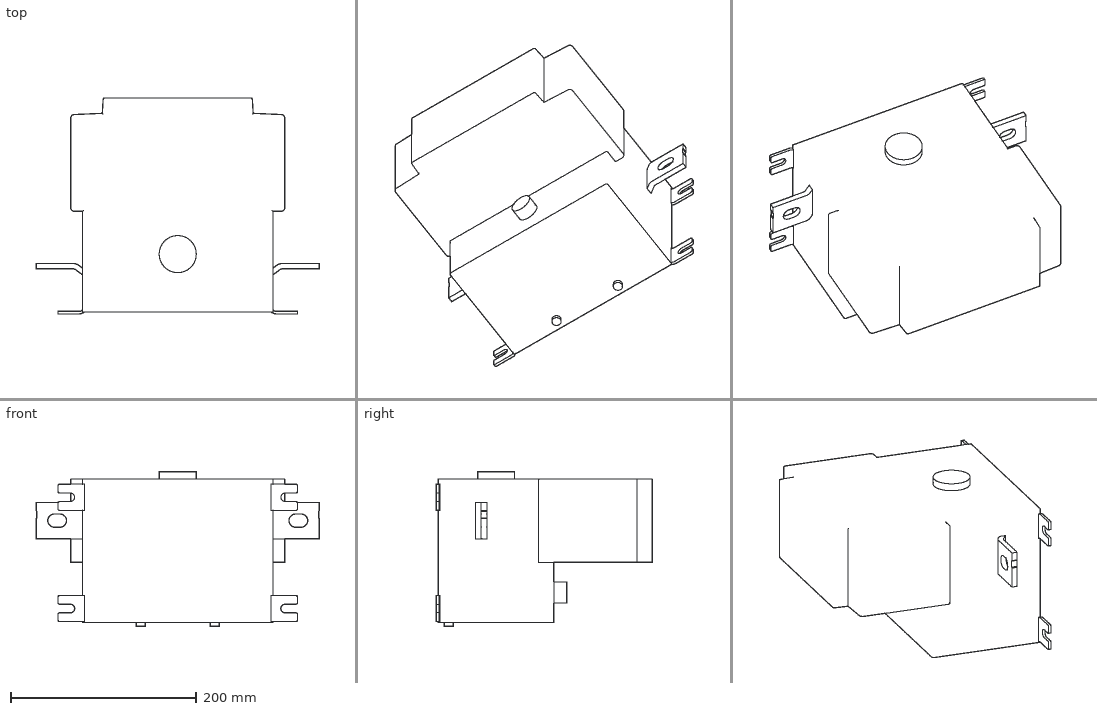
import cadquery as cq
import math

overall_width = 305.66
overall_depth = 233.2

body_width = 205.5
body_depth = 125.0
body_height = 155.0
body_corner_radius = 2.0
top_edge_radius = 1.0

housing_width = 231.0
housing_height = 90.0
housing_front_y = 108.5
housing_corner_radius = 4.0
shoulder_outer_y = 213.0
shoulder_inner_y = 214.5
step_base_half_width = 81.5
step_back_half_width = 80.5
step_corner_radius = 2.0

lug_thickness = 3.0
lug_front_y = -2.1
lug_tip_x = 129.3
lug_bend_x = 105.9
lug_bend_angle = 30.0
lug_bend_radius = 6.3
lug_height = 28.4
lug_bottoms = (1.0, 121.0)
lug_tip_radius = 2.0
lug_slot_width = 9.0
lug_slot_end_x = 111.3

terminal_thickness = 6.0
terminal_height = 39.5
terminal_back_y = 52.5
terminal_bend_x = 112.8
terminal_bend_angle = 36.0
terminal_bend_radius = 4.0
terminal_hole_x = 130.1
terminal_hole_length = 20.0
terminal_hole_width = 14.0

tip_notch_offset = 6.6
tip_notch_mouth = 8.6
tip_notch_floor = 7.0
tip_notch_depth = 0.7

cap_diameter = 40.0
cap_height = 8.0
boss_diameter = 23.0
boss_length = 14.0
boss_z = 32.5
pin_diameter = 10.0
pin_length = 4.0
pin_spacing = 80.0
pin_y = 11.5

embed_depth = 6.0
back_y = overall_depth + lug_front_y
housing_bottom = body_height - housing_height
embed_x = body_width / 2 - embed_depth


def both_sides(shape):
    """Return the shape together with its mirror image across the YZ plane."""
    return shape.union(shape.mirror("YZ"))


def make_body():
    return (
        cq.Workplane("XY")
        .box(body_width, body_depth, body_height, centered=(True, False, False))
        .edges("|Z and >Y")
        .fillet(body_corner_radius)
    )


def make_housing():
    half = housing_width / 2
    outline = [
        (half, housing_front_y),
        (half, shoulder_outer_y),
        (step_base_half_width, shoulder_inner_y),
        (step_back_half_width, back_y),
    ]
    mirrored = [(-x, y) for x, y in reversed(outline)]
    housing = (
        cq.Workplane("XY", origin=(0, 0, housing_bottom))
        .polyline(outline + mirrored)
        .close()
        .extrude(housing_height)
    )
    housing = housing.edges("|Z and >Y").fillet(step_corner_radius)
    return housing.edges("|Z and (>X or <X)").fillet(housing_corner_radius)


def round_top_edges(shape):
    """Round the top rim everywhere except along the front edge."""
    return shape.faces(">Z").edges("not <Y").fillet(top_edge_radius)


def point_on_bend(centre, radius, turn):
    """Point on a bend, turned towards the body; a negative turn bends towards +Y."""
    side = math.copysign(1, turn)
    return (
        centre[0] - radius * math.sin(abs(turn)),
        centre[1] + side * radius * math.cos(turn),
    )


def extend_inward(start, rise_angle):
    """Point where a line from start, rising at the given angle, ends inside the body."""
    return (embed_x, start[1] + (start[0] - embed_x) * math.tan(rise_angle))


def make_lug(bottom):
    """Right-hand slotted lug, cranked back into the body."""
    angle = math.radians(lug_bend_angle)
    inner_radius = lug_bend_radius - lug_thickness
    lug_back_y = lug_front_y + lug_thickness
    bend_centre = (lug_bend_x, lug_front_y + lug_bend_radius)
    front_end = point_on_bend(bend_centre, lug_bend_radius, -angle)
    back_end = point_on_bend(bend_centre, inner_radius, -angle)
    lug = (
        cq.Workplane("XY", origin=(0, 0, bottom))
        .moveTo(lug_tip_x, lug_front_y)
        .lineTo(lug_bend_x, lug_front_y)
        .threePointArc(point_on_bend(bend_centre, lug_bend_radius, -angle / 2), front_end)
        .lineTo(*extend_inward(front_end, angle))
        .lineTo(*extend_inward(back_end, angle))
        .lineTo(*back_end)
        .threePointArc(point_on_bend(bend_centre, inner_radius, -angle / 2), (lug_bend_x, lug_back_y))
        .lineTo(lug_tip_x, lug_back_y)
        .close()
        .extrude(lug_height)
    )
    slot_half_length = lug_tip_x - lug_slot_end_x
    slot = (
        cq.Workplane("XZ", origin=(lug_tip_x, lug_back_y, bottom + lug_height / 2))
        .slot2D(2 * slot_half_length, lug_slot_width)
        .extrude(lug_thickness)
    )
    return lug.cut(slot).edges("|Y and >X").fillet(lug_tip_radius)


def make_terminal():
    """Right-hand terminal blade with an oblong hole, cranked forward into the body."""
    angle = math.radians(terminal_bend_angle)
    outer_radius = terminal_bend_radius + terminal_thickness
    tip_x = overall_width / 2
    front_y = terminal_back_y - terminal_thickness
    bend_centre = (terminal_bend_x, front_y - terminal_bend_radius)
    inner_end = point_on_bend(bend_centre, terminal_bend_radius, angle)
    outer_start = (terminal_bend_x, terminal_back_y)
    outer_end = point_on_bend(bend_centre, outer_radius, angle)
    middle_z = housing_bottom + housing_height / 2
    blade = (
        cq.Workplane("XY", origin=(0, 0, middle_z - terminal_height / 2))
        .moveTo(tip_x, front_y)
        .lineTo(terminal_bend_x, front_y)
        .threePointArc(point_on_bend(bend_centre, terminal_bend_radius, angle / 2), inner_end)
        .lineTo(*extend_inward(inner_end, -angle))
        .lineTo(*extend_inward(outer_end, -angle))
        .lineTo(*outer_end)
        .threePointArc(point_on_bend(bend_centre, outer_radius, angle / 2), outer_start)
        .lineTo(tip_x, terminal_back_y)
        .close()
        .extrude(terminal_height)
    )
    hole = (
        cq.Workplane("XZ", origin=(terminal_hole_x, terminal_back_y, middle_z))
        .slot2D(terminal_hole_length, terminal_hole_width)
        .extrude(terminal_thickness)
    )
    notch_mouth = tip_notch_mouth / 2
    notch_floor = tip_notch_floor / 2
    notch = (
        cq.Workplane("XZ", origin=(tip_x, terminal_back_y, middle_z + tip_notch_offset))
        .polyline(
            [
                (0, -notch_mouth),
                (-tip_notch_depth, -notch_floor),
                (-tip_notch_depth, notch_floor),
                (0, notch_mouth),
            ]
        )
        .close()
        .extrude(terminal_thickness)
    )
    return blade.cut(hole).cut(notch)


def make_cap():
    return (
        cq.Workplane("XY", origin=(0, body_depth / 2, body_height))
        .circle(cap_diameter / 2)
        .extrude(cap_height)
    )


def make_boss():
    return (
        cq.Workplane("XZ", origin=(0, body_depth, boss_z))
        .circle(boss_diameter / 2)
        .extrude(-boss_length)
    )


def make_pins():
    return (
        cq.Workplane("XY", origin=(0, pin_y, 0))
        .pushPoints([(-pin_spacing / 2, 0), (pin_spacing / 2, 0)])
        .circle(pin_diameter / 2)
        .extrude(-pin_length)
    )


result = round_top_edges(make_body().union(make_housing()))
for lug_bottom in lug_bottoms:
    result = result.union(both_sides(make_lug(lug_bottom)))
result = result.union(both_sides(make_terminal()))
result = result.union(make_cap()).union(make_boss()).union(make_pins())